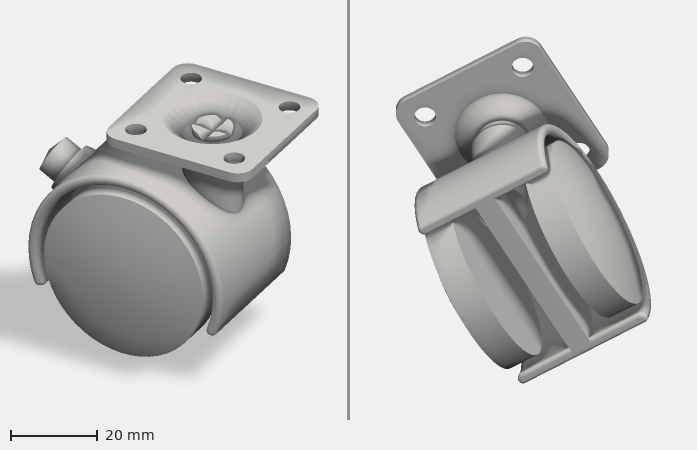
import cadquery as cq
import math


wheel_radius = 21.0
wheel_inner_face = 9.8
wheel_outer_edge = 17.1
overall_width = 40.5

shell_radius = 25.6
rim_outer_radius = 1.15
rim_inner_radius = 1.5
shell_wall = rim_outer_radius + rim_inner_radius
shell_half_width = wheel_outer_edge
shell_bottom = -9.6
shell_bottom_fillet = 0.9
rim_crest_radius = shell_radius - rim_outer_radius
web_thickness = 5.1
boss_top = 27.0
boss_radius = 7.1
inner_boss_radius = 5.85
inner_boss_bottom = 0.0

button_angle = 29.0
button_radius = 4.9
button_cap_edge = 32.2
button_tip_height = 1.3
button_seat = rim_crest_radius
collar_face = 27.3
collar_face_radius = 6.35
collar_draft = 15.0

swivel_x = 14.0
overall_height = 58.5
plate_top = overall_height - wheel_radius
plate_size = 38.0
plate_thickness = 2.4
plate_corner_radius = 4.0
screw_spacing = 26.0
screw_hole_diameter = 5.0
dish_rim_radius = 11.45
dish_floor_radius = 6.85
dish_depth = 3.6
cone_rim_radius = 10.85
cone_end_radius = 6.85
cone_edge_fillet = 1.3
stem_radius = 4.2
stem_insertion = 12.7
ring_radius = 6.5
ring_height = 2.6
neck_gap = 1.6
ring_bottom = boss_top + neck_gap
ring_top = ring_bottom + ring_height
stem_bottom = boss_top - stem_insertion
head_radius = 4.75
head_height = 1.6
groove_half_width = 1.5
groove_depth = 1.5
cross_corner_distance = 2.7


def cylinder_along_y(radius, half_width):
    return cq.Workplane("XZ").circle(radius).extrude(half_width, both=True)


def cylinder_along_z(x, radius, bottom, top):
    return cq.Workplane("XY", origin=(x, 0, bottom)).circle(radius).extrude(top - bottom)


def about_button_axis(profile):
    """Revolve a (radius, distance) outline and turn its axis onto the button direction."""
    upright = profile.revolve(360, (0, 0, 0), (0, 1, 0))
    return upright.rotate((0, 0, 0), (0, 1, 0), button_angle - 90)


def make_wheel(side):
    """One wheel on the -Y (side = -1) or +Y (side = +1) side of the housing."""
    apex = overall_width / 2
    dome_height = apex - wheel_outer_edge
    dome_sphere_radius = (wheel_radius**2 + dome_height**2) / (2 * dome_height)
    half_angle = math.asin(wheel_radius / dome_sphere_radius) / 2
    arc_x = dome_sphere_radius * math.sin(half_angle)
    arc_y = apex - dome_sphere_radius * (1 - math.cos(half_angle))
    return (
        cq.Workplane("XY")
        .moveTo(0, side * wheel_inner_face)
        .lineTo(wheel_radius, side * wheel_inner_face)
        .lineTo(wheel_radius, side * wheel_outer_edge)
        .threePointArc((arc_x, side * arc_y), (0, side * apex))
        .close()
        .revolve(360, (0, 0, 0), (0, 1, 0))
    )


def make_shell():
    """Arched shell with rounded side rims and a rounded flat bottom."""
    inner_radius = shell_radius - shell_wall
    outer_straight = shell_half_width - rim_outer_radius
    inner_straight = shell_half_width - rim_inner_radius
    half_section = (
        cq.Workplane("XY")
        .moveTo(inner_radius, 0)
        .lineTo(shell_radius, 0)
        .lineTo(shell_radius, outer_straight)
        .radiusArc((rim_crest_radius, shell_half_width), -rim_outer_radius)
        .radiusArc((inner_radius, inner_straight), -rim_inner_radius)
        .close()
    )
    half_ring = half_section.revolve(360, (0, 0, 0), (0, 1, 0))
    ring = half_ring.union(half_ring.mirror("XZ"))
    shell = ring.intersect(upper_region())
    return shell.faces("<Z").edges().fillet(shell_bottom_fillet)


def upper_region():
    """Everything around the shell that lies above its bottom plane."""
    size = 4 * shell_radius
    return cq.Workplane("XY", origin=(0, 0, shell_bottom)).rect(size, size).extrude(size)


def make_collar():
    base_distance = rim_crest_radius
    draft_slope = math.tan(math.radians(collar_draft))
    base_radius = collar_face_radius + (collar_face - base_distance) * draft_slope
    profile = cq.Workplane("XZ").polyline([
        (0, base_distance),
        (base_radius, base_distance),
        (collar_face_radius, collar_face),
        (0, collar_face),
    ]).close()
    return about_button_axis(profile)


def make_button():
    profile = cq.Workplane("XZ").polyline([
        (0, button_seat),
        (button_radius, button_seat),
        (button_radius, button_cap_edge),
        (0, button_cap_edge + button_tip_height),
    ]).close()
    return about_button_axis(profile)


def make_housing():
    shell_core = cylinder_along_y(rim_crest_radius, shell_half_width)
    web = cylinder_along_y(rim_crest_radius, web_thickness / 2).intersect(upper_region())
    outer_boss = cylinder_along_z(swivel_x, boss_radius, 0, boss_top).cut(shell_core)
    inner_boss = cylinder_along_z(swivel_x, inner_boss_radius, inner_boss_bottom, boss_top)
    inner_boss = inner_boss.intersect(shell_core)
    housing = make_shell().union(web).union(outer_boss).union(inner_boss).union(make_collar())
    stem_bore = cylinder_along_z(swivel_x, stem_radius, stem_bottom, boss_top)
    return housing.cut(stem_bore).cut(make_button())


def make_plate():
    """Square plate with screw holes and a dished centre."""
    underside = plate_top - plate_thickness
    plate = (
        cq.Workplane("XY", origin=(swivel_x, 0, underside))
        .rect(plate_size, plate_size)
        .extrude(plate_thickness)
        .edges("|Z")
        .fillet(plate_corner_radius)
        .faces(">Z")
        .workplane()
        .rect(screw_spacing, screw_spacing, forConstruction=True)
        .vertices()
        .hole(screw_hole_diameter)
    )
    cone = revolve_about_swivel([
        (0, ring_top),
        (cone_end_radius, ring_top),
        (cone_rim_radius, underside),
        (0, underside),
    ]).faces("<Z").edges().fillet(cone_edge_fillet)
    dish = revolve_about_swivel([
        (0, plate_top - dish_depth),
        (dish_floor_radius, plate_top - dish_depth),
        (dish_rim_radius, plate_top),
        (0, plate_top),
    ])
    return plate.union(cone).cut(dish)


def revolve_about_swivel(points):
    outline = cq.Workplane("XZ", origin=(swivel_x, 0, 0)).polyline(points).close()
    return outline.revolve(360, (0, 0, 0), (0, 1, 0))


def v_groove(half_width, angle):
    """V-shaped bar across the stem head, turned by an angle about the swivel axis."""
    top = plate_top - dish_depth + head_height
    outline = [(-half_width, top), (0, top - groove_depth), (half_width, top)]
    bar = cq.Workplane("XZ", origin=(swivel_x, 0, 0)).polyline(outline).close().extrude(head_radius, both=True)
    return bar.rotate((swivel_x, 0, 0), (swivel_x, 0, 1), angle)


def make_stem_head():
    """Raised stem end, split into quarters by two crossing V grooves with bevelled inner corners."""
    bottom = plate_top - dish_depth
    head = cylinder_along_z(swivel_x, head_radius, bottom, bottom + head_height)
    corner_bevel = v_groove(cross_corner_distance, 45).intersect(v_groove(cross_corner_distance, 135))
    for angle in (0, 90):
        head = head.cut(v_groove(groove_half_width, angle))
    return head.cut(corner_bevel)


def make_ring():
    """Half-round bead on the stem, just under the plate."""
    flat_radius = ring_radius - ring_height / 2
    return (
        cq.Workplane("XZ", origin=(swivel_x, 0, 0))
        .moveTo(0, ring_bottom)
        .lineTo(flat_radius, ring_bottom)
        .threePointArc((ring_radius, (ring_bottom + ring_top) / 2), (flat_radius, ring_top))
        .lineTo(0, ring_top)
        .close()
        .revolve(360, (0, 0, 0), (0, 1, 0))
    )


def make_swivel_plate():
    """Plate and its staked stem, which turn together in the housing."""
    stem = cylinder_along_z(swivel_x, stem_radius, stem_bottom, ring_top)
    return make_plate().union(stem).union(make_ring()).union(make_stem_head())


housing = make_housing()
button = make_button()
swivel_plate = make_swivel_plate()
wheels = [make_wheel(side) for side in (-1, 1)]

result = cq.Compound.makeCompound([
    housing.val(),
    button.val(),
    swivel_plate.val(),
    *[wheel.val() for wheel in wheels],
])